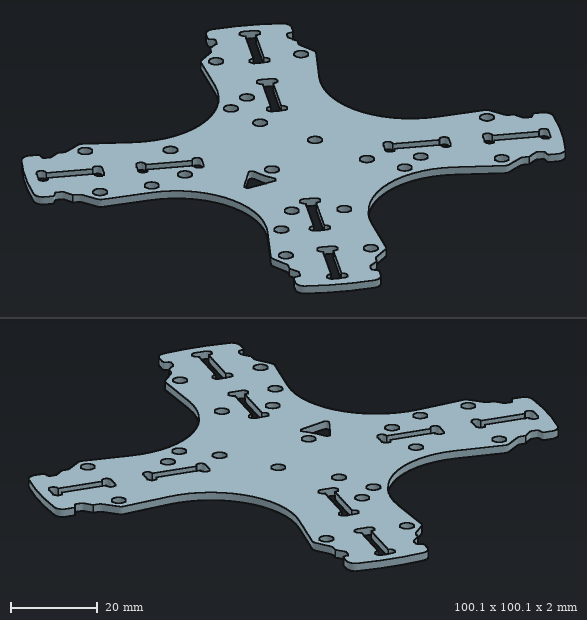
import cadquery as cq
import math


thickness = 2.0
tip_radius = 62.6
tip_half_width = 10.0
tip_corner_fillet = 2.2
bay_radius = 21.0
bay_centre = 46.8
shoulder = (47.6, 13.5)
shoulder_fillet = 1.5
waist_end = (51.5, 10.2)
waist_fillet = 1.5
notch_half_width = 8.3
notch_inner_end = 55.2
notch_outer_end = 57.1
notch_outer_rim = 57.6
notch_fillet = 0.6

strap_slot_positions = [28.8, 52.1]
strap_head_spacing = 13.1
strap_head_length = 4.8
strap_head_width = 2.2
strap_web_width = 2.4

hole_diameter = 3.3
arm_hole_along = 46.9
arm_hole_across = 9.9
centre_hole_y = 8.6
stack_pitch = 30.0
stack_centre_y = -7.0
side_hole_x = 24.4
side_hole_ys = [16.1, 9.7, -14.4]
rear_hole = (18.2, -30.7)

arrow_half_width = 4.2
arrow_base_y = -11.6
arrow_base_dip = 0.4
arrow_tip_y = -20.1
arrow_fillet = 0.8

cut_depth = 2 * thickness
arm_angles = [45, 135, 225, 315]


def tangent_angle(point, centre, radius):
    """Direction from the circle centre to where the line from the point touches it."""
    along = point[0] - centre[0]
    across = point[1] - centre[1]
    return math.atan2(across, along) - math.acos(radius / math.hypot(along, across))


def circle_point(centre, radius, angle):
    return (centre[0] + radius * math.cos(angle), centre[1] + radius * math.sin(angle))


def mirrored(point):
    return (point[0], -point[1])


def fillet_corners(body, corners, radius):
    """Round the vertical edges at the given corners on both sides of the arm."""
    for corner in corners:
        for x, y in (corner, mirrored(corner)):
            edge = cq.selectors.NearestToPointSelector((x, y, thickness / 2))
            body = body.edges("|Z").edges(edge).fillet(radius)
    return body


def make_arm():
    """One arm along +X, including its quarter of the central area."""
    bay = (bay_centre / math.sqrt(2), bay_centre / math.sqrt(2))
    bay_start_angle = tangent_angle(shoulder, bay, bay_radius)
    bay_end_angle = math.radians(-135)
    bay_start = circle_point(bay, bay_radius, bay_start_angle)
    bay_middle = circle_point(bay, bay_radius, (bay_start_angle + bay_end_angle) / 2)
    bay_end = circle_point(bay, bay_radius, bay_end_angle)

    tip = (math.sqrt(tip_radius**2 - tip_half_width**2), tip_half_width)
    notch_rim = (notch_outer_rim, tip_half_width)
    notch_outer = (notch_outer_end, notch_half_width)
    notch_inner = (notch_inner_end, notch_half_width)
    waist_start = (notch_inner_end - (waist_end[1] - notch_half_width), waist_end[1])
    edge_corners = [shoulder, waist_end, waist_start, notch_inner, notch_outer, notch_rim, tip]

    outline = cq.Workplane("XY").lineTo(*bay_end).threePointArc(bay_middle, bay_start)
    for corner in edge_corners:
        outline = outline.lineTo(*corner)
    outline = outline.threePointArc((tip_radius, 0), mirrored(tip))
    for corner in reversed(edge_corners[:-1]):
        outline = outline.lineTo(*mirrored(corner))
    outline = outline.lineTo(*mirrored(bay_start))
    outline = outline.threePointArc(mirrored(bay_middle), mirrored(bay_end)).close()

    arm = outline.extrude(thickness)
    arm = fillet_corners(arm, [tip], tip_corner_fillet)
    arm = fillet_corners(arm, [notch_rim, notch_outer, notch_inner], notch_fillet)
    arm = fillet_corners(arm, [waist_end], waist_fillet)
    return fillet_corners(arm, [shoulder], shoulder_fillet)


def make_strap_slot(position):
    """Cutter for a strap slot along +X, centred at the given distance from the plate centre."""
    centre = cq.Workplane("XY").center(position, 0)
    web = centre.rect(strap_head_spacing, strap_web_width).extrude(cut_depth, both=True)
    heads = (
        centre.pushPoints([(-strap_head_spacing / 2, 0), (strap_head_spacing / 2, 0)])
        .slot2D(strap_head_length, strap_head_width, 90)
        .extrude(cut_depth, both=True)
    )
    return web.union(heads)


def make_arrow():
    """Cutter for the triangular opening, with a shallow dip in its base."""
    return (
        cq.Workplane("XY")
        .moveTo(-arrow_half_width, arrow_base_y)
        .lineTo(0, arrow_base_y - arrow_base_dip)
        .lineTo(arrow_half_width, arrow_base_y)
        .lineTo(0, arrow_tip_y)
        .close()
        .extrude(cut_depth, both=True)
        .edges("|Z and (<X or >X or <Y)")
        .fillet(arrow_fillet)
    )


def body_hole_points():
    """Centres of the holes in the central area."""
    points = [(0, centre_hole_y), (0, -centre_hole_y)]
    for side in (-1, 1):
        points += [(side * side_hole_x, y) for y in side_hole_ys]
        points.append((side * rear_hole[0], rear_hole[1]))
        for end in (-1, 1):
            points.append((side * stack_pitch / 2, stack_centre_y + end * stack_pitch / 2))
    return points


def make_holes(points):
    return cq.Workplane("XY").pushPoints(points).circle(hole_diameter / 2).extrude(cut_depth, both=True)


arm = make_arm().cut(make_holes([(arm_hole_along, arm_hole_across), (arm_hole_along, -arm_hole_across)]))
for position in strap_slot_positions:
    arm = arm.cut(make_strap_slot(position))

plate = cq.Workplane("XY")
for angle in arm_angles:
    plate = plate.union(arm.rotate((0, 0, 0), (0, 0, 1), angle))

result = plate.clean().cut(make_holes(body_hole_points())).cut(make_arrow())